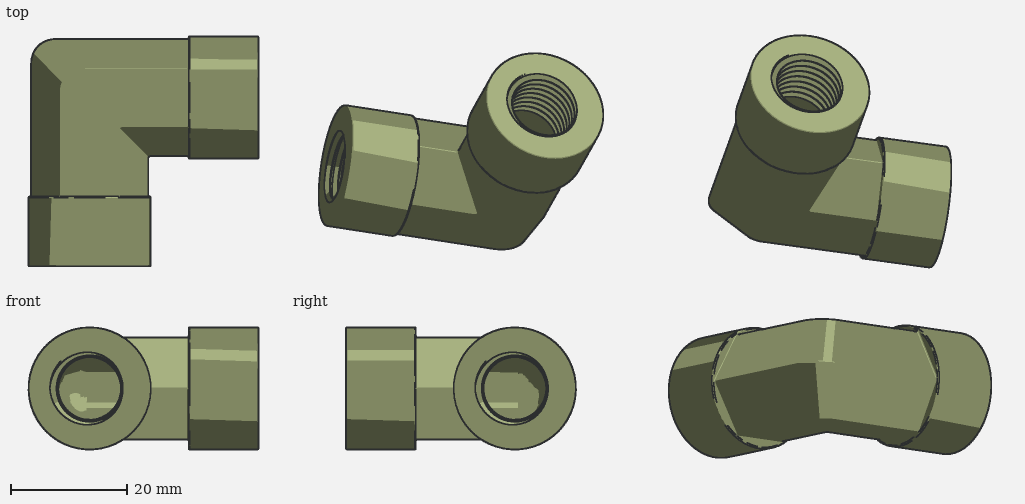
import cadquery as cq
import math

overall_length = 39.5
collar_diameter = 21.0
collar_length = 12.0
collar_edge_round = 0.25

hex_across_flats = 17.55
outer_bend_round = 5.0
inner_bend_round = 0.47
hex_edge_round = 0.3
collar_joint_round = 0.25

bore_radius = 5.37
bore_bend_round = 4.55
rounded_bore_height = 0.99 * 2 * bore_radius

thread_pitch = 1.42
thread_depth = 1.1
thread_turns = 8
thread_angle = 60.0
taper_slope = 1 / 32
groove_overlap = 0.05

arm_length = overall_length - collar_diameter / 2
neck_length = arm_length - collar_length
hex_corner_diameter = hex_across_flats / math.cos(math.pi / 6)
thread_length = thread_turns * thread_pitch
mouth_radius = bore_radius + thread_length * taper_slope
tolerance = 0.0005


def section_plane(distance):
    """Workplane across the -Y arm, facing the mouth, with its local X axis along +Z."""
    return cq.Workplane(cq.Plane(origin=(0, -distance, 0), xDir=(0, 0, 1), normal=(0, -1, 0)))


def on_both_arms(part):
    """The part built on the -Y arm, together with its copy on the +X arm."""
    return [part, part.rotate((0, 0, 0), (0, 0, 1), 90)]


def mitered_elbow(arm):
    """Trim a bar along Y at the miter plane X + Y = 0 and join it to its mirror image."""
    reach = 2 * arm_length
    keep = (
        cq.Workplane("XY")
        .polyline([(-reach, reach), (reach, -reach), (-reach, -reach)])
        .close()
        .extrude(collar_diameter, both=True)
    )
    arm = arm.intersect(keep)
    return arm.union(arm.mirror((1, 1, 0)))


def miter_edges(elbow, side):
    """Sloping edges on the miter plane: side -1 is outside the bend, +1 inside."""
    return [
        edge for edge in elbow.edges().vals()
        if edge.Center().x * side > tolerance
        and all(abs(p.x + p.y) < tolerance for p in edge.positions((0, 0.3, 0.7, 1)))
        and abs(edge.startPoint().z - edge.endPoint().z) > tolerance
    ]


def ridge_edges(elbow):
    """Level edges along the corners of the hexagon, leaving out the two end faces."""
    return [
        edge for edge in elbow.edges().vals()
        if all(abs(p.z - edge.startPoint().z) < tolerance for p in edge.positions((0.3, 0.7, 1)))
        and max(abs(edge.Center().x), abs(edge.Center().y)) < neck_length - tolerance
    ]


def make_hex_body():
    arm = section_plane(neck_length).transformed(rotate=(0, 0, 90))
    arm = arm.polygon(6, hex_corner_diameter).extrude(-neck_length - hex_corner_diameter)
    body = mitered_elbow(arm)
    body = body.newObject(miter_edges(body, -1)).fillet(outer_bend_round)
    body = body.newObject(miter_edges(body, 1)).fillet(inner_bend_round)
    return body.newObject(ridge_edges(body)).fillet(hex_edge_round)


def make_collar():
    collar = section_plane(neck_length).circle(collar_diameter / 2).extrude(collar_length)
    return collar.edges().fillet(collar_edge_round)


def round_collar_joints(body):
    """Fillet where the hexagon meets the collars, whose inner faces it pierces."""
    joints = [
        edge
        for face in body.faces().vals()
        for wire in face.innerWires()
        for edge in wire.Edges()
    ]
    return body.newObject(joints).fillet(collar_joint_round)


def make_bore():
    """Mitered bore with its outer corner rounded.

    The corner fades out at the top and bottom of the bore, where the two arms already meet
    smoothly, so only the band between them is rounded.
    """
    arm = section_plane(arm_length).circle(bore_radius).extrude(-arm_length - 2 * bore_radius)
    bore = mitered_elbow(arm)
    band = cq.Workplane("XY").box(4 * arm_length, 4 * arm_length, rounded_bore_height)
    middle = bore.intersect(band)
    middle = middle.newObject(miter_edges(middle, -1)).fillet(bore_bend_round)
    return bore.cut(band).union(middle)


def make_mouth_taper():
    """Cone that narrows from the mouth down to the plain bore."""
    mouth = cq.Vector(0, -arm_length, 0)
    inward = cq.Vector(0, 1, 0)
    return cq.Workplane(cq.Solid.makeCone(mouth_radius, bore_radius, thread_length, mouth, inward))


def make_thread_groove():
    """Tapered helical V-groove that starts one turn outside the mouth, level with the arm axes."""
    crest_radius = mouth_radius + thread_pitch * taper_slope
    root_radius = crest_radius + thread_depth
    base_radius = crest_radius - groove_overlap
    half_width = (root_radius - base_radius) * math.tan(math.radians(thread_angle / 2))
    groove_height = thread_length + thread_pitch
    taper_angle = math.degrees(math.atan(taper_slope))

    corners = [(base_radius, -half_width), (root_radius, 0), (base_radius, half_width)]
    helices = [
        cq.Wire.makeHelix(thread_pitch, groove_height, radius, angle=-taper_angle)
        .translate(cq.Vector(0, 0, height))
        for radius, height in corners
    ]
    faces = [
        cq.Face.makeRuledSurface(helices[i - 1], helices[i])
        for i in range(len(helices))
    ]
    for end in (0, 1):
        triangle = cq.Wire.makePolygon([helix.positionAt(end) for helix in helices], close=True)
        faces.append(cq.Face.makeFromWires(triangle))
    groove = cq.Solid.makeSolid(cq.Shell.makeShell(faces)).fix()

    groove = cq.Workplane(groove).rotate((0, 0, 0), (1, 0, 0), -90)
    groove = groove.rotate((0, 0, 0), (0, 1, 0), 180)
    return groove.translate((0, -arm_length - thread_pitch, 0))


result = make_hex_body()
for collar in on_both_arms(make_collar()):
    result = result.union(collar)
result = round_collar_joints(result)

result = result.cut(make_bore())
for cavity in on_both_arms(make_mouth_taper()) + on_both_arms(make_thread_groove()):
    result = result.cut(cavity)
result = result.solids()